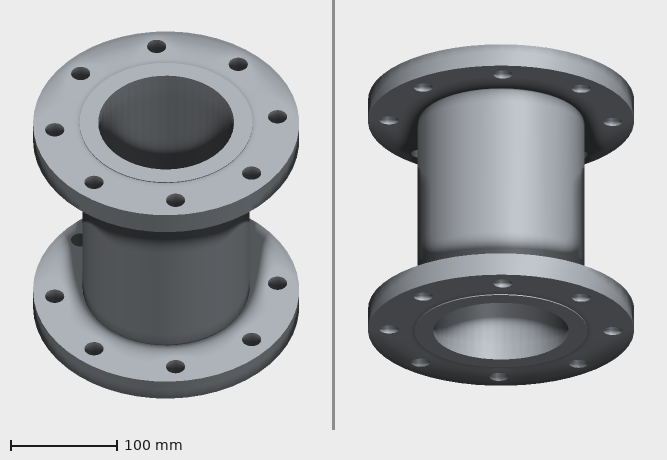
import cadquery as cq

flange_diameter = 250.0
total_length = 240.0
flange_thickness = 22.0
raised_face_diameter = 162.5
raised_face_height = 1.0
bore_diameter = 127.5

barrel_diameter = 157.0
neck_diameter = 140.0
neck_length = 1.0
barrel_edge_radius = 3.0

bolt_count = 8
bolt_circle_diameter = 210.0
bolt_hole_diameter = 18.0

face_z = total_length / 2
flange_outer_z = face_z - raised_face_height
flange_inner_z = flange_outer_z - flange_thickness
barrel_end_z = flange_inner_z - neck_length


def disc(diameter, bottom_z, top_z):
    """Solid cylinder about the Z axis between two heights."""
    return cq.Workplane("XY").workplane(offset=bottom_z).circle(diameter / 2).extrude(top_z - bottom_z)


def barrel():
    """Central body with rounded end edges."""
    return disc(barrel_diameter, -barrel_end_z, barrel_end_z).edges("%CIRCLE").fillet(barrel_edge_radius)


def upper_flange():
    """Drilled flange with its raised sealing face and the neck below it."""
    plate = disc(flange_diameter, flange_inner_z, flange_outer_z)
    bolt_holes = (
        cq.Workplane("XY")
        .workplane(offset=flange_inner_z)
        .polarArray(bolt_circle_diameter / 2, 360 / bolt_count / 2, 360, bolt_count)
        .circle(bolt_hole_diameter / 2)
        .extrude(flange_thickness)
    )
    raised_face = disc(raised_face_diameter, flange_outer_z, face_z)
    neck = disc(neck_diameter, barrel_end_z, flange_inner_z)
    return plate.cut(bolt_holes).union(raised_face).union(neck)


top_end = upper_flange()
bottom_end = top_end.mirror("XY")
bore = disc(bore_diameter, -face_z, face_z)

result = barrel().union(top_end).union(bottom_end).cut(bore)